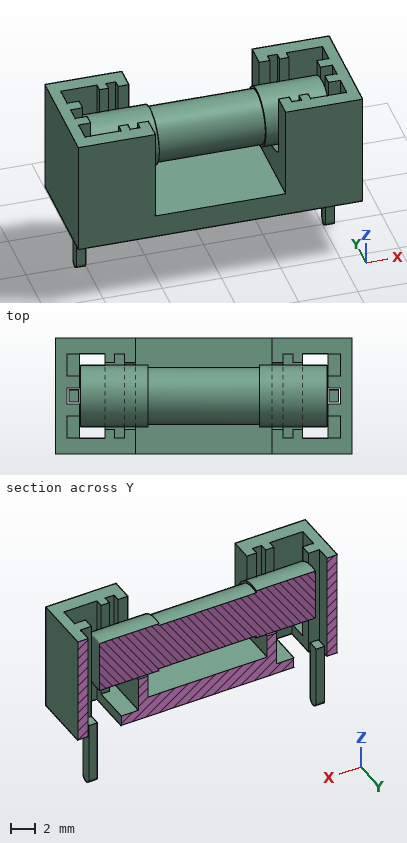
import cadquery as cq

housing_length = 24.0
housing_width = 9.4
housing_height = 10.0
bridge_thickness = 2.02
tower_length = 6.5

cavity_start = 0.95
cavity_width = 6.8
floor_thickness = 1.0
opening_width = 5.4
clip_start = 4.0
groove_start = 4.78
groove_end = 5.6

saddle_width = 5.45
saddle_bottom = 4.1
saddle_depth = 0.58
saddle_corner_radius = 0.72

rib_end = 1.97
pin_slot_width = 1.27
end_rib_thickness = 0.98

fuse_length = 20.0
fuse_axis_height = 6.7
tube_diameter = 4.6
cap_diameter = 5.0
cap_length = 5.5
cap_edge_radius = 0.12

pin_spacing = 21.0
pin_thickness = 0.8
pin_width = 1.0
pin_drop = 5.0
pin_top = floor_thickness

SIDES = (-1, 1)


def tower_box(side, start, end, y_centre, width, bottom, top=housing_height):
    """Box inside one tower, from start to end measured inward from the tower's outer end."""
    x_centre = side * (housing_length / 2 - (start + end) / 2)
    return (
        cq.Workplane("XY", origin=(x_centre, y_centre, bottom))
        .rect(end - start, width)
        .extrude(top - bottom)
    )


def housing_block():
    """Two towers joined by a low bridge."""
    bridge_length = housing_length - 2 * tower_length
    block = cq.Workplane("XY").box(
        housing_length, housing_width, housing_height, centered=(True, True, False)
    )
    gap = (
        cq.Workplane("XY", origin=(0, 0, bridge_thickness))
        .rect(bridge_length, housing_width)
        .extrude(housing_height - bridge_thickness)
    )
    return block.cut(gap)


def tower_cavity(side):
    """Open-topped chamber with clip grooves, end ribs left standing and floor openings."""
    cavity = tower_box(side, cavity_start, clip_start, 0, cavity_width, floor_thickness)
    throat = tower_box(side, clip_start, groove_end, 0, opening_width, floor_thickness)
    groove = tower_box(side, groove_start, groove_end, 0, cavity_width, floor_thickness)
    cavity = cavity.union(throat).union(groove)

    rib_offset = (pin_slot_width + end_rib_thickness) / 2
    for rib_side in SIDES:
        rib = tower_box(
            side, cavity_start, rib_end, rib_side * rib_offset, end_rib_thickness, floor_thickness
        )
        cavity = cavity.cut(rib)

    floor_opening = tower_box(side, rib_end, clip_start, 0, cavity_width, 0)
    pin_slot = tower_box(side, cavity_start, rib_end, 0, pin_slot_width, 0)
    return cavity.union(floor_opening).union(pin_slot)


def saddle(side):
    """Slot through the tower's inner wall, with a shallow arc bottom and rounded lower corners."""
    half_width = saddle_width / 2
    corner_height = saddle_bottom + saddle_depth
    slot = (
        cq.Workplane("YZ", origin=(side * (housing_length / 2 - groove_end), 0, 0))
        .moveTo(-half_width, housing_height)
        .lineTo(-half_width, corner_height)
        .threePointArc((0, saddle_bottom), (half_width, corner_height))
        .lineTo(half_width, housing_height)
        .close()
        .extrude(side * (groove_end - tower_length))
    )
    return slot.edges("|X").edges("<Z").fillet(saddle_corner_radius)


def make_housing():
    housing = housing_block()
    for side in SIDES:
        housing = housing.cut(tower_cavity(side)).cut(saddle(side))
    return housing


def make_fuse():
    """Tube with a larger cap at each end, along X."""
    start = cq.Workplane("YZ", origin=(-fuse_length / 2, 0, fuse_axis_height))
    fuse = start.circle(tube_diameter / 2).extrude(fuse_length)
    for side in SIDES:
        cap = (
            cq.Workplane("YZ", origin=(side * fuse_length / 2, 0, fuse_axis_height))
            .circle(cap_diameter / 2)
            .extrude(-side * cap_length)
            .faces("<X" if side < 0 else ">X")
            .fillet(cap_edge_radius)
        )
        fuse = fuse.union(cap)
    return fuse


def make_pin(side):
    """Flat pin with a fully rounded lower tip."""
    radius = pin_width / 2
    tip_centre = radius - pin_drop
    return (
        cq.Workplane("YZ", origin=(side * pin_spacing / 2 - pin_thickness / 2, 0, 0))
        .moveTo(-radius, pin_top)
        .lineTo(-radius, tip_centre)
        .threePointArc((0, -pin_drop), (radius, tip_centre))
        .lineTo(radius, pin_top)
        .close()
        .extrude(pin_thickness)
    )


housing = make_housing()
fuse = make_fuse()
pins = [make_pin(side) for side in SIDES]

result = cq.Compound.makeCompound([housing.val(), fuse.val(), *[pin.val() for pin in pins]])